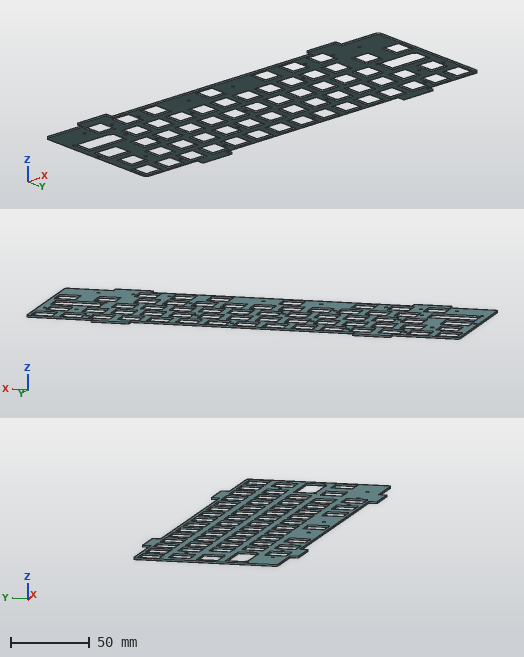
import cadquery as cq

length = 285.3
depth = 105.5
thickness = 1.2
corner_radius = 2.0

columns = 15
rows = 5
edge_trim = 0.23
pitch = (length + 2 * edge_trim) / columns
body_depth = rows * pitch - 2 * edge_trim

tab_width = 24.8
tab_height = (depth - body_depth) / 2
back_tab_offset = 86.2
front_tab_offset = 98.5

switch_size = 14.0
switch_corner_radius = 0.3
stepped_width = switch_size + pitch / 4
wide_width = 32.0
wide_corner_cut_x = 3.0
wide_corner_cut_y = 2.0

hole_diameter = 2.0
wide_hole_left = 16.3
wide_hole_front = 7.0

switch_columns = [
    [0.5 + i for i in range(15)],
    [0.75] + [2 + i for i in range(12)] + [14.25],
    [2.25 + i for i in range(11)],
    [2.75 + i for i in range(10)] + [13.125, 14.5],
    [2, 3.25, 4.5, 7, 9.5, 10.75, 12],
]
hole_columns = [
    [2, 4, 8, 13],
    [1.35, 5.5, 9.5, 13.65, 14.75],
    [0.12, 2.75, 6.75],
    [2.25, 5.25, 10.25],
    [1.3, 2.55, 3.75, 6, 8, 11.25, 12.5, 13.7],
]
stepped_key = (0.75, 2)
wide_keys = [(13.875, 2), (1.125, 3)]


def grid_point(column, row):
    """Plate coordinates of a column position on a row's centre line."""
    return ((column - columns / 2) * pitch, ((rows - 1) / 2 - row) * pitch)


def grid_points(columns_by_row):
    return [grid_point(c, row) for row, places in enumerate(columns_by_row) for c in places]


def slab(width, height, points):
    """Rectangular blocks of plate thickness, centred on the given points."""
    return cq.Workplane("XY").pushPoints(points).rect(width, height).extrude(thickness)


def plate_blank():
    body = slab(length, body_depth, [(0, 0)]).edges("|Z").fillet(corner_radius)
    tab_y = body_depth / 2
    tab_points = [(side * back_tab_offset, tab_y) for side in (-1, 1)]
    tab_points += [(side * front_tab_offset, -tab_y) for side in (-1, 1)]
    return body.union(slab(tab_width, 2 * tab_height, tab_points))


def switch_openings(width, points):
    return slab(width, switch_size, points).edges("|Z").fillet(switch_corner_radius)


def wide_openings(points):
    """Long-key openings with their two front corners cut off."""
    half_width = wide_width / 2
    half_depth = switch_size / 2
    outline = [
        (-half_width, half_depth),
        (half_width, half_depth),
        (half_width, wide_corner_cut_y - half_depth),
        (half_width - wide_corner_cut_x, -half_depth),
        (wide_corner_cut_x - half_width, -half_depth),
        (-half_width, wide_corner_cut_y - half_depth),
    ]
    sketch = cq.Sketch().polygon(outline + outline[:1])
    locations = [cq.Location(cq.Vector(x, y, 0)) for x, y in points]
    return cq.Workplane("XY").placeSketch(*[sketch.moved(place) for place in locations]).extrude(thickness)


def round_holes(points):
    return cq.Workplane("XY").pushPoints(points).circle(hole_diameter / 2).extrude(thickness)


wide_centers = [grid_point(*key) for key in wide_keys]
wide_key_holes = [(x - wide_hole_left, y - wide_hole_front) for x, y in wide_centers]

result = plate_blank()
result = result.cut(switch_openings(switch_size, grid_points(switch_columns)))
result = result.cut(switch_openings(stepped_width, [grid_point(*stepped_key)]))
result = result.cut(wide_openings(wide_centers))
result = result.cut(round_holes(grid_points(hole_columns) + wide_key_holes))